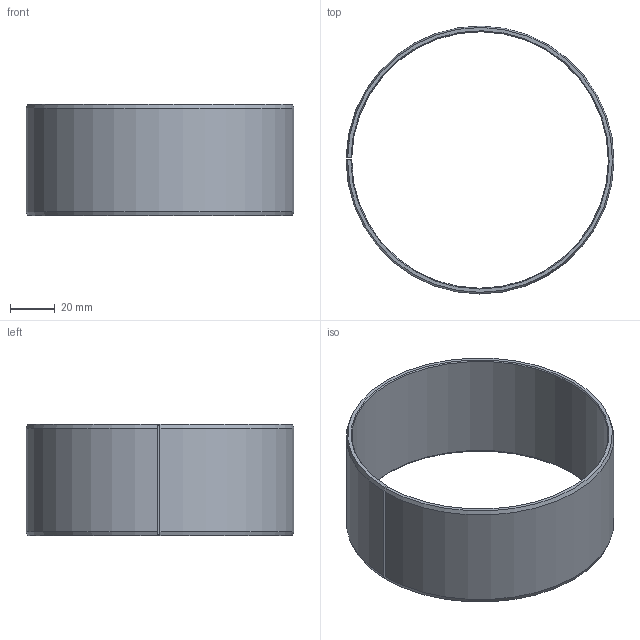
import cadquery as cq
import math

outer_diameter = 120.0
wall_thickness = 2.5
length = 50.0

outer_chamfer_length = 1.8
outer_chamfer_angle = 20.0
inner_chamfer_length = 0.6
inner_chamfer_depth = 0.35
joint_angle = 1.0

outer_radius = outer_diameter / 2
inner_radius = outer_radius - wall_thickness
half_length = length / 2
outer_chamfer_depth = outer_chamfer_length * math.tan(math.radians(outer_chamfer_angle))


def make_open_sleeve():
    """Revolve the chamfered wall section from the -X side, short of a full turn by the joint."""
    section = [
        (-inner_radius, half_length - inner_chamfer_length),
        (-inner_radius - inner_chamfer_depth, half_length),
        (-outer_radius + outer_chamfer_depth, half_length),
        (-outer_radius, half_length - outer_chamfer_length),
        (-outer_radius, -half_length + outer_chamfer_length),
        (-outer_radius + outer_chamfer_depth, -half_length),
        (-inner_radius - inner_chamfer_depth, -half_length),
        (-inner_radius, -half_length + inner_chamfer_length),
    ]
    wall = cq.Workplane("XZ").polyline(section).close()
    return wall.revolve(360 - joint_angle, (0, 0), (0, 1))


result = make_open_sleeve()